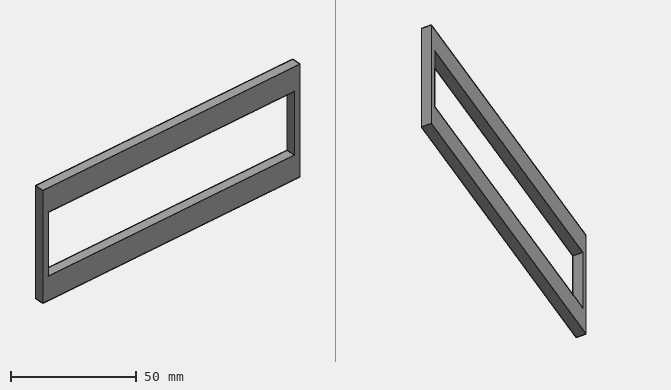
import cadquery as cq

thickness = 4.5
length = 134.0
height = 55.0

end_bar_width = 3.0
rail_width = 12.0

window_length = length - 2 * end_bar_width
window_height = height - 2 * rail_width


def make_frame():
    """Flat rectangular plate, standing in the YZ plane, with a window through its thickness."""
    plate = cq.Workplane("XY").box(thickness, length, height)
    window = cq.Workplane("XY").box(thickness, window_length, window_height)
    return plate.cut(window)


result = make_frame()